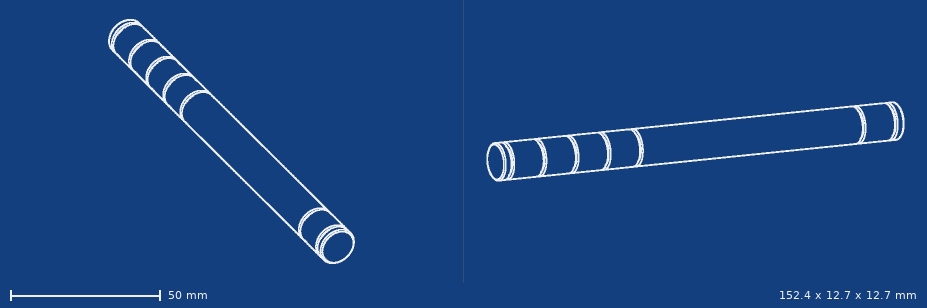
import cadquery as cq

pin_length = 152.4
pin_diameter = 12.7
end_chamfer = 0.5

groove_width = 1.17
groove_diameter = 10.06
end_to_groove = 3.15
groove_pitch = 12.25
left_groove_count = 5
right_groove_count = 2

left_end = -pin_length / 2
right_end = pin_length / 2


def rod_along_x(diameter, center_x, length):
    """Solid cylinder on the X axis, centred lengthwise on center_x."""
    start_x = center_x - length / 2
    return cq.Workplane("YZ", origin=(start_x, 0, 0)).circle(diameter / 2).extrude(length)


def groove_ring(center_x):
    """Ring of material removed by one groove."""
    outer = rod_along_x(pin_diameter, center_x, groove_width)
    core = rod_along_x(groove_diameter, center_x, groove_width)
    return outer.cut(core)


def groove_centers():
    """Groove positions, each group stepping inward from its own end."""
    left = [left_end + end_to_groove + i * groove_pitch for i in range(left_groove_count)]
    right = [right_end - end_to_groove - i * groove_pitch for i in range(right_groove_count)]
    return left + right


result = rod_along_x(pin_diameter, 0, pin_length).faces("<X or >X").chamfer(end_chamfer)

for center_x in groove_centers():
    result = result.cut(groove_ring(center_x))